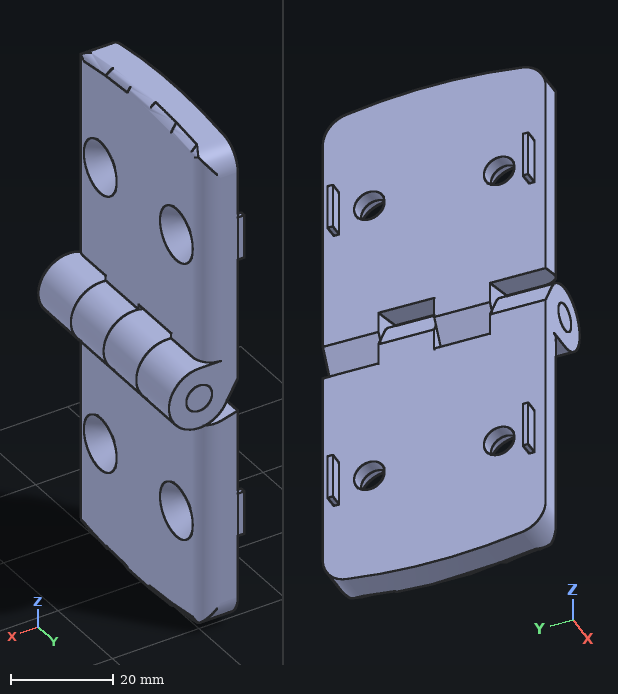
import cadquery as cq
import math

LEAF_LENGTH = 57.3
WIDTH = 48.0
THICKNESS = 7.9
HALF_WIDTH = WIDTH / 2

END_ARC_RADIUS = 120.3
CORNER_RADIUS = 6.0
SIDE_ROUND = 4.0
END_ROUND = 1.6

KNUCKLE_COUNT = 4
KNUCKLE_WIDTH = WIDTH / KNUCKLE_COUNT
KNUCKLE_RADIUS = 7.0
AXIS_X = 8.9
PIN_RADIUS = 3.0
KNUCKLE_FOOT = 1.5

SLOT_BACK_Z = 6.1
SLOT_FRONT_Z = 8.1

FIXING_Z = 32.4
HOLE_SPACING = 28.0
HOLE_DIAMETER = 6.5
COUNTERSINK_DIAMETER = 12.0
COUNTERSINK_START = 3.2
TAB_SPACING = 42.0
TAB_WIDTH = 1.1
TAB_LENGTH = 10.0
TAB_HEIGHT = 3.0


def end_blank():
    """Slab with one bowed end and square corners."""
    sagitta = END_ARC_RADIUS - math.sqrt(END_ARC_RADIUS**2 - HALF_WIDTH**2)
    shoulder_z = LEAF_LENGTH - sagitta
    return (
        cq.Workplane("YZ")
        .moveTo(-HALF_WIDTH, SLOT_BACK_Z)
        .lineTo(HALF_WIDTH, SLOT_BACK_Z)
        .lineTo(HALF_WIDTH, shoulder_z)
        .threePointArc((0, LEAF_LENGTH), (-HALF_WIDTH, shoulder_z))
        .close()
        .extrude(THICKNESS)
    )


def side_rounded_bar():
    """Bar along Z whose two long front edges are rounded."""
    return (
        cq.Workplane("XY")
        .box(THICKNESS, WIDTH, LEAF_LENGTH, centered=(False, True, False))
        .edges("|Z and >X")
        .fillet(SIDE_ROUND)
    )


def plate():
    """Leaf plate with rounded corners, side edges and end edge."""
    outline = end_blank().edges("|X").edges(">Z").fillet(CORNER_RADIUS)
    end_rounded = end_blank().faces(">X").edges(">Z").fillet(END_ROUND)
    return outline.intersect(end_rounded).intersect(side_rounded_bar())


def slot(y_start):
    """Wedge below the sloped slot floor, one knuckle wide."""
    return (
        cq.Workplane("XZ", origin=(0, y_start, 0))
        .polyline([(0, 0), (0, SLOT_BACK_Z), (THICKNESS, SLOT_FRONT_Z), (THICKNESS, 0)])
        .close()
        .extrude(-KNUCKLE_WIDTH)
    )


def knuckle(y_start):
    """Solid knuckle: barrel joined to the plate by a flat and a line tangent to the barrel."""
    foot_distance = math.hypot(AXIS_X, KNUCKLE_FOOT)
    foot_angle = math.pi - math.atan2(KNUCKLE_FOOT, AXIS_X)
    touch_angle = foot_angle + math.acos(KNUCKLE_RADIUS / foot_distance)
    touch_x = AXIS_X + KNUCKLE_RADIUS * math.cos(touch_angle)
    touch_z = KNUCKLE_RADIUS * math.sin(touch_angle)
    return (
        cq.Workplane("XZ", origin=(0, y_start, 0))
        .moveTo(0, KNUCKLE_FOOT)
        .lineTo(touch_x, touch_z)
        .threePointArc((AXIS_X + KNUCKLE_RADIUS, 0), (AXIS_X, KNUCKLE_RADIUS))
        .lineTo(0, KNUCKLE_RADIUS)
        .close()
        .extrude(-KNUCKLE_WIDTH)
    )


def pin():
    """Hinge pin, flush with both sides."""
    return cq.Workplane("XZ", origin=(AXIS_X, -HALF_WIDTH, 0)).circle(PIN_RADIUS).extrude(-WIDTH)


def tab(y):
    """Locating tab standing on the mounting face."""
    return (
        cq.Workplane("XY", origin=(-TAB_HEIGHT / 2, y, FIXING_Z))
        .box(TAB_HEIGHT, TAB_WIDTH, TAB_LENGTH)
    )


def screw_hole(y):
    """Through hole with a countersink from the front."""
    hole = cq.Workplane("YZ", origin=(0, y, FIXING_Z)).circle(HOLE_DIAMETER / 2).extrude(THICKNESS)
    countersink = (
        cq.Workplane("YZ", origin=(COUNTERSINK_START, y, FIXING_Z))
        .circle(HOLE_DIAMETER / 2)
        .workplane(offset=THICKNESS - COUNTERSINK_START)
        .circle(COUNTERSINK_DIAMETER / 2)
        .loft()
    )
    return hole.union(countersink)


def leaf():
    """Upper hinge leaf, extending along +Z from the hinge axis."""
    body = plate()
    for index in range(KNUCKLE_COUNT):
        y_start = -HALF_WIDTH + index * KNUCKLE_WIDTH
        if index % 2 == 0:
            body = body.cut(slot(y_start))
        else:
            body = body.union(knuckle(y_start))
    for side in (-1, 1):
        body = body.cut(screw_hole(side * HOLE_SPACING / 2))
        body = body.union(tab(side * TAB_SPACING / 2))
    return body.cut(pin())


upper_leaf = leaf()
lower_leaf = leaf().rotate((0, 0, 0), (1, 0, 0), 180)
hinge_pin = pin()

result = cq.Compound.makeCompound([upper_leaf.val(), lower_leaf.val(), hinge_pin.val()])